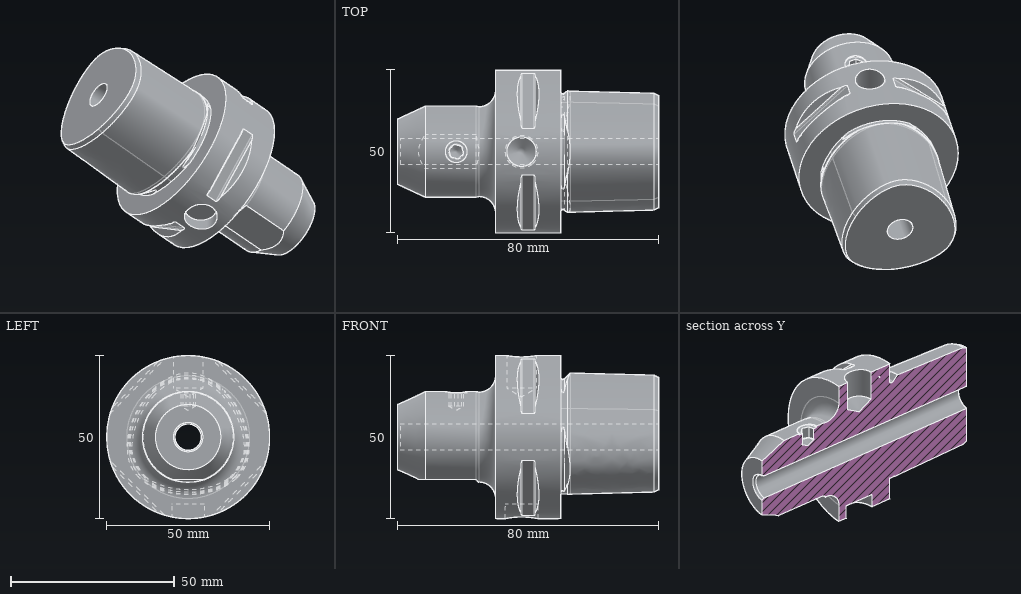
import cadquery as cq
import math


total_length = 80.0
flange_front = 30.0
flange_back = 50.0
band_start = 52.0
taper_start = 53.0
shank_chamfer_start = 78.5

flange_diameter = 50.0
nose_diameter = 28.0
nose_tip_diameter = 20.0
nose_half_angle = 25.0
neck_diameter = 27.6
neck_fillet_radius = 5.0
neck_step_length = 1.0
relief_flat_height = 13.0
bore_diameter = 8.0
bore_mouth_diameter = 9.0
bore_mouth_half_angle = 30.0

screw_x = 18.0
screw_hole_diameter = 6.65
screw_face_height = 13.5
socket_width = 4.0
socket_depth = 4.0
socket_turn = 45.0
socket_tip_angle = 120.0

flange_hole_x = 38.0
drilled_hole_diameter = 9.0
drilled_hole_depth = 10.0
drill_tip_angle = 118.0
chip_hole_diameter = 10.0
chip_hole_depth = 4.5

slot_x = 40.0
slot_floor_distance = 22.0
slot_width = 4.2
slot_floor_fillet = 0.4
slot_wall_height = 0.85
slot_wall_angle = 30.0
slot_angles = (45.0, 135.0, 225.0, 315.0)

lobe_count = 3
first_seam_angle = 30.0
lobe_height = 1.08
root_radius = 18.52
band_radius = 18.7
gauge_radius = 18.58
taper_slope = 1.0 / 40.0
shank_chamfer_inset = 0.75
points_per_lobe = 16

undercut_radius = 17.82
undercut_corner_rise = 0.35
undercut_low_x = flange_back + 0.5
undercut_end_x = flange_back + 1.15
undercut_end_radius = 17.95
undercut_outer_radius = 20.5

clearance = 1.0


def turned(outline):
    """Revolve an outline drawn as (x, radius) about the X axis."""
    return outline.close().revolve(360, (0, 0, 0), (1, 0, 0))


def make_nose_and_flange():
    nose_radius = nose_diameter / 2
    tip_radius = nose_tip_diameter / 2
    neck_radius = neck_diameter / 2
    cone_length = (nose_radius - tip_radius) / math.tan(math.radians(nose_half_angle))
    fillet_start = flange_front - neck_fillet_radius
    fillet_top = neck_radius + neck_fillet_radius
    diagonal = neck_fillet_radius * math.sqrt(0.5)
    outline = (
        cq.Workplane("XY")
        .moveTo(0, 0)
        .lineTo(0, tip_radius)
        .lineTo(cone_length, nose_radius)
        .lineTo(fillet_start - neck_step_length, nose_radius)
        .lineTo(fillet_start, neck_radius)
        .threePointArc((fillet_start + diagonal, fillet_top - diagonal), (flange_front, fillet_top))
        .lineTo(flange_front, flange_diameter / 2)
        .lineTo(flange_back, flange_diameter / 2)
        .lineTo(flange_back, 0)
    )
    return turned(outline)


def lobe_point(mean_radius, angle):
    """Point of the constant-width curve with support mean_radius - lobe_height * sin(lobe_count * angle)."""
    support = mean_radius - lobe_height * math.sin(lobe_count * angle)
    slope = -lobe_count * lobe_height * math.cos(lobe_count * angle)
    y = support * math.cos(angle) - slope * math.sin(angle)
    z = support * math.sin(angle) + slope * math.cos(angle)
    return cq.Vector(y, z)


def lobed_wire(x, mean_radius):
    """Closed three-lobed section at x, one lobe pointing to +Z, with seams on the flat sides."""
    plane = cq.Plane.YZ(origin=(x, 0, 0))
    lobe_span = math.radians(360 / lobe_count)
    step = lobe_span / points_per_lobe
    edges = []
    for lobe in range(lobe_count):
        start = math.radians(first_seam_angle) + lobe * lobe_span
        points = [
            plane.toWorldCoords(lobe_point(mean_radius, start + i * step))
            for i in range(points_per_lobe + 1)
        ]
        tangents = [
            plane.toWorldCoords((-math.sin(a), math.cos(a))) - plane.origin
            for a in (start, start + lobe_span)
        ]
        edges.append(cq.Edge.makeSpline(points, tangents=tangents))
    return cq.Wire.assembleEdges(edges)


def make_shank():
    """Straight root, narrow raised band, 1:20 taper and end chamfer, all with the lobed section."""
    taper_end_radius = gauge_radius - taper_slope * (shank_chamfer_start - taper_start)
    sections = [
        (band_start, band_radius),
        (taper_start, gauge_radius),
        (shank_chamfer_start, taper_end_radius),
        (total_length, taper_end_radius - shank_chamfer_inset),
    ]
    wires = [lobed_wire(x, radius) for x, radius in sections]
    root = [lobed_wire(x, root_radius) for x in (flange_back, band_start)]
    shank = cq.Workplane(obj=cq.Solid.makeLoft(root, True))
    for front, back in zip(wires, wires[1:]):
        shank = shank.add(cq.Solid.makeLoft([front, back], True))
    return shank.combine()


def make_undercut():
    """Ring with a rounded floor beside the flange and a 45 degree rise onto the lobes."""
    rise = undercut_outer_radius - undercut_end_radius
    outline = (
        cq.Workplane("XY")
        .moveTo(flange_back, undercut_radius + undercut_corner_rise)
        .threePointArc((undercut_low_x, undercut_radius), (undercut_end_x, undercut_end_radius))
        .lineTo(undercut_end_x + rise, undercut_outer_radius)
        .lineTo(flange_back, undercut_outer_radius)
    )
    return turned(outline)


def make_bore():
    bore_radius = bore_diameter / 2
    mouth_radius = bore_mouth_diameter / 2
    mouth_length = (mouth_radius - bore_radius) / math.tan(math.radians(bore_mouth_half_angle))
    outline = (
        cq.Workplane("XY")
        .lineTo(0, mouth_radius)
        .lineTo(mouth_length, bore_radius)
        .lineTo(total_length, bore_radius)
        .lineTo(total_length, 0)
    )
    return turned(outline)


def upright_cylinder(x, diameter, bottom, top):
    return cq.Workplane("XY", origin=(x, 0, bottom)).circle(diameter / 2).extrude(top - bottom)


def drill_tip(x, diameter, z, tip_angle):
    """Downward cone whose base lies at height z."""
    radius = diameter / 2
    depth = radius / math.tan(math.radians(tip_angle / 2))
    cone = cq.Solid.makeCone(radius, 0, depth, cq.Vector(x, 0, z), cq.Vector(0, 0, -1))
    return cq.Workplane(obj=cone)


def make_relief_flat():
    """Flat along the underside of the nose, with a 45 degree run-out towards the flange."""
    flat_end = flange_front - neck_fillet_radius - neck_step_length
    depth = nose_diameter / 2 - relief_flat_height + clearance
    return (
        cq.Workplane("XZ")
        .moveTo(-clearance, -relief_flat_height)
        .lineTo(flat_end, -relief_flat_height)
        .lineTo(flat_end + depth, -relief_flat_height - depth)
        .lineTo(-clearance, -relief_flat_height - depth)
        .close()
        .extrude(nose_diameter / 2, both=True)
    )


def make_screw_recess():
    """Open end of the screw hole, with the hexagon socket in the face of the screw."""
    corner_diameter = socket_width / math.cos(math.radians(30))
    socket_floor = screw_face_height - socket_depth
    top = nose_diameter / 2 + clearance
    socket = (
        cq.Workplane("XY", origin=(screw_x, 0, socket_floor))
        .transformed(rotate=(0, 0, socket_turn))
        .polygon(6, corner_diameter)
        .extrude(socket_depth)
    )
    tip = drill_tip(screw_x, corner_diameter, socket_floor, socket_tip_angle)
    hole = upright_cylinder(screw_x, screw_hole_diameter, screw_face_height, top)
    return hole.union(socket).union(tip)


def make_drilled_hole():
    floor = flange_diameter / 2 - drilled_hole_depth
    top = flange_diameter / 2 + clearance
    hole = upright_cylinder(flange_hole_x, drilled_hole_diameter, floor, top)
    return hole.union(drill_tip(flange_hole_x, drilled_hole_diameter, floor, drill_tip_angle))


def make_chip_hole():
    bottom = -flange_diameter / 2 - clearance
    return upright_cylinder(flange_hole_x, chip_hole_diameter, bottom, bottom + clearance + chip_hole_depth)


def make_slot(angle):
    """Slot across the flange rim, at the given angle from +Y towards +Z."""
    half_width = slot_width / 2
    floor = slot_floor_distance
    top = flange_diameter / 2 + clearance
    wall_top = floor + slot_wall_height
    top_half_width = half_width + (top - wall_top) * math.tan(math.radians(slot_wall_angle))
    fillet_sag = slot_floor_fillet * (1 - math.sqrt(0.5))
    slot = (
        cq.Workplane("XY", origin=(slot_x, 0, 0))
        .moveTo(-half_width + slot_floor_fillet, floor)
        .lineTo(half_width - slot_floor_fillet, floor)
        .threePointArc(
            (half_width - fillet_sag, floor + fillet_sag),
            (half_width, floor + slot_floor_fillet),
        )
        .lineTo(half_width, wall_top)
        .lineTo(top_half_width, top)
        .lineTo(-top_half_width, top)
        .lineTo(-half_width, wall_top)
        .lineTo(-half_width, floor + slot_floor_fillet)
        .threePointArc(
            (-half_width + fillet_sag, floor + fillet_sag),
            (-half_width + slot_floor_fillet, floor),
        )
        .close()
        .extrude(flange_diameter / 2, both=True)
    )
    return slot.rotate((0, 0, 0), (1, 0, 0), angle)


shank = make_shank().cut(make_undercut())
result = make_nose_and_flange().union(shank)
result = result.cut(make_bore()).cut(make_relief_flat()).cut(make_screw_recess())
result = result.cut(make_drilled_hole()).cut(make_chip_hole())
for slot_angle in slot_angles:
    result = result.cut(make_slot(slot_angle))